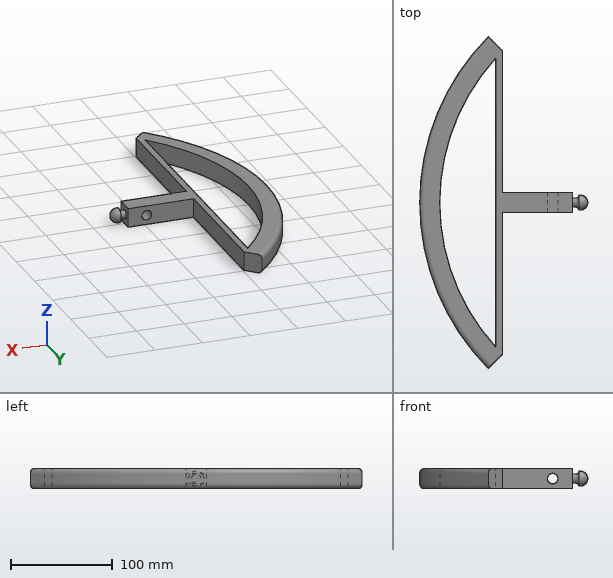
import cadquery as cq
import math

span = 325.3
thickness = 20.0
end_angle = math.radians(45)
overlap = 3.3

bow_width = 20.0
bow_edge_radius = 5.0
bow_reach = 81.3
crossbar_width = 6.8
outer_radius = span / 2 / math.sin(end_angle)
inner_radius = outer_radius - bow_width
bow_center_x = outer_radius - bow_reach

stem_length = 68.5
stem_width = 20.0
hole_diameter = 10.0
hole_from_stem_end = 19.5

knob_length = 15.0
ball_radius = 7.5
neck_radius = 4.5
neck_length = 3.0
flare_length = 3.3


def make_bow_blank():
    """Arc-backed plate with radial ends, rounded along its curved outer edges."""
    tip_x = bow_center_x - outer_radius * math.cos(end_angle)
    corner_y = bow_center_x * math.tan(end_angle)
    blank = (
        cq.Workplane("XY")
        .workplane(offset=-thickness / 2)
        .moveTo(0, -corner_y)
        .lineTo(0, corner_y)
        .lineTo(tip_x, span / 2)
        .threePointArc((-bow_reach, 0), (tip_x, -span / 2))
        .close()
        .extrude(thickness)
    )
    return blank.edges("%CIRCLE").fillet(bow_edge_radius)


def make_window():
    """Opening between the bow and the crossbar."""
    half_height = math.sqrt(inner_radius**2 - (bow_center_x + crossbar_width) ** 2)
    return (
        cq.Workplane("XY")
        .moveTo(-crossbar_width, -half_height)
        .lineTo(-crossbar_width, half_height)
        .threePointArc((bow_center_x - inner_radius, 0), (-crossbar_width, -half_height))
        .close()
        .extrude(thickness, both=True)
    )


def make_stem():
    """Square stem with a cross hole along Y."""
    stem = cq.Workplane("XY").box(
        stem_length + overlap, stem_width, thickness, centered=(False, True, True)
    ).translate((-overlap, 0, 0))
    hole = (
        cq.Workplane("XZ")
        .center(stem_length - hole_from_stem_end, 0)
        .circle(hole_diameter / 2)
        .extrude(stem_width, both=True)
    )
    return stem.cut(hole)


def make_knob():
    """Cylindrical neck flaring into a round head, revolved about the stem axis."""
    flare_start = stem_length + neck_length
    flare_end = flare_start + flare_length
    tip_x = stem_length + knob_length
    ball_x = tip_x - ball_radius
    rim_radius = math.sqrt(ball_radius**2 - (ball_x - flare_end) ** 2)
    return (
        cq.Workplane("XY")
        .moveTo(stem_length - overlap, 0)
        .lineTo(stem_length - overlap, neck_radius)
        .lineTo(flare_start, neck_radius)
        .tangentArcPoint((flare_end, rim_radius), relative=False)
        .threePointArc((ball_x, ball_radius), (tip_x, 0))
        .close()
        .revolve(360, (0, 0, 0), (1, 0, 0))
    )


frame = make_bow_blank().cut(make_window())
result = frame.union(make_stem()).union(make_knob())